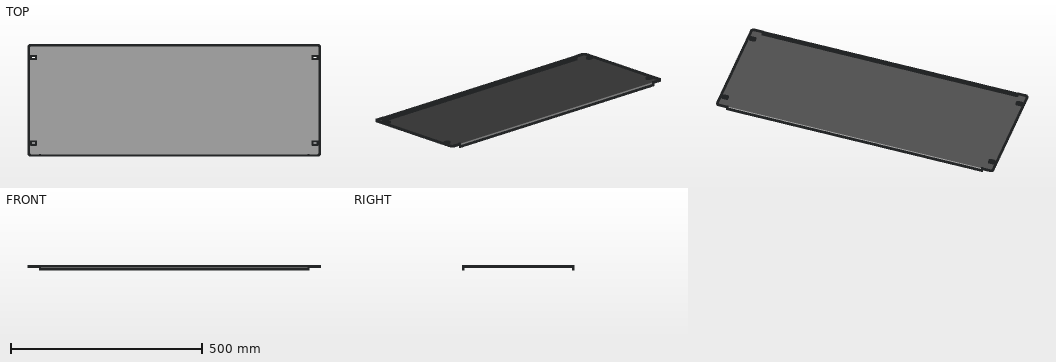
import cadquery as cq

length = 760.0
width = 289.0
height = 8.0
sheet = 1.5

flange_length = 702.0
bend_radius = 1.9
end_tab = (length - flange_length) / 2
corner_chamfer = 4.0

slot_length = 12.0
slot_width = 7.5
slot_spacing_x = 735.0
slot_spacing_y = 223.5


def folded_channel():
    """Sheet bent down along both long edges, open underneath."""
    outer = (
        cq.Workplane("XY")
        .box(flange_length, width, height, centered=(True, True, False))
        .edges("|X and >Z")
        .fillet(bend_radius)
    )
    inner = (
        cq.Workplane("XY")
        .box(flange_length, width - 2 * sheet, height - sheet, centered=(True, True, False))
        .edges("|X and >Z")
        .fillet(bend_radius - sheet)
    )
    return outer.cut(inner)


def flat_end(side):
    """Flat end of the panel, beyond the flanges, with chamfered outer corners."""
    return (
        cq.Workplane("XY", origin=(side * (length - end_tab) / 2, 0, height - sheet))
        .box(end_tab, width, sheet, centered=(True, True, False))
        .edges("|Z and " + (">X" if side > 0 else "<X"))
        .chamfer(corner_chamfer)
    )


def mounting_slots():
    """Four rectangular slots through the flat ends."""
    return (
        cq.Workplane("XY")
        .rarray(slot_spacing_x, slot_spacing_y, 2, 2)
        .rect(slot_length, slot_width)
        .extrude(height)
    )


panel = folded_channel()
for side in (-1, 1):
    panel = panel.union(flat_end(side))

result = panel.cut(mounting_slots())